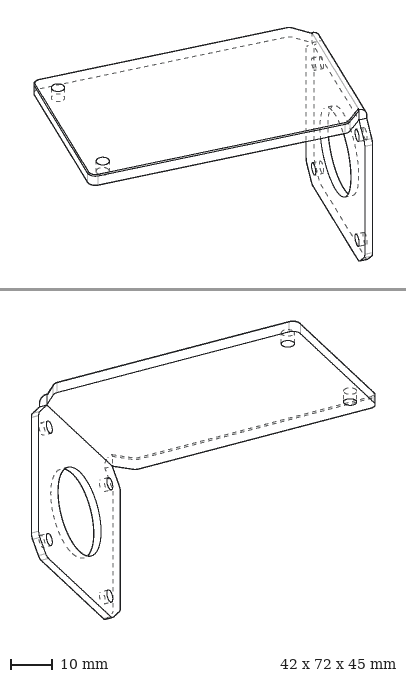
import cadquery as cq

width = 42.0
length = 72.0
height = 45.0

shelf_thickness = 3.0
flange_thickness = 2.0
bend_radius = flange_thickness
corner_cut = 4.2
corner_radius = 2.0
top_edge_chamfer = 0.3

bore_diameter = 22.0
mount_hole_diameter = 3.0
mount_hole_spacing = 31.0

shelf_hole_diameter = 3.2
shelf_hole_spacing = 32.0
shelf_hole_end_distance = 5.0

shelf_length = length - flange_thickness
flange_height = height - shelf_thickness
flange_center_z = -shelf_thickness - flange_height / 2
bend_width = width - 2 * corner_cut


def make_shelf():
    """Horizontal plate with rounded free corners and cut corners at the bend."""
    shelf = (
        cq.Workplane("XY")
        .box(width, shelf_length, shelf_thickness, centered=(True, False, False))
        .translate((0, 0, -shelf_thickness))
    )
    shelf = shelf.edges("|Z and >Y").chamfer(corner_cut)
    bend_edges = cq.selectors.BoxSelector(
        (-bend_width, shelf_length - corner_cut / 2, -height),
        (bend_width, length, height),
    )
    shelf = shelf.edges(cq.selectors.SubtractSelector(cq.StringSyntaxSelector("|Z"), bend_edges))
    shelf = shelf.fillet(corner_radius)
    bend_side = cq.selectors.BoxSelector(
        (-width, shelf_length - top_edge_chamfer, -height),
        (width, length, height),
    )
    top_edges = cq.selectors.SubtractSelector(cq.StringSyntaxSelector(">Z"), bend_side)
    shelf = shelf.edges(top_edges).chamfer(top_edge_chamfer)
    return (
        shelf.faces(">Z")
        .workplane(origin=(0, shelf_hole_end_distance, 0))
        .rarray(shelf_hole_spacing, 0.7, 2, 1)
        .hole(shelf_hole_diameter)
    )


def make_flange():
    """Vertical motor plate with cut corners, a central bore and four screw holes."""
    flange = (
        cq.Workplane("XY")
        .box(width, flange_thickness, flange_height, centered=(True, False, True))
        .translate((0, shelf_length, flange_center_z))
    )
    flange = flange.edges("|Y").chamfer(corner_cut)
    flange = flange.edges("|Y").edges("not >Z").fillet(corner_radius)
    face = flange.faces("<Y").workplane(origin=(0, 0, flange_center_z))
    flange = face.hole(bore_diameter)
    face = flange.faces("<Y").workplane(origin=(0, 0, flange_center_z))
    return face.rarray(mount_hole_spacing, mount_hole_spacing, 2, 2).hole(mount_hole_diameter)


def make_bend():
    """Rounded strip that joins the shelf to the flange."""
    bend = (
        cq.Workplane("XY")
        .box(bend_width, flange_thickness, shelf_thickness, centered=(True, False, False))
        .translate((0, shelf_length, -shelf_thickness))
    )
    corner = (
        cq.Workplane("YZ")
        .moveTo(length - bend_radius, 0)
        .radiusArc((length, -bend_radius), bend_radius)
        .lineTo(length, 0)
        .close()
        .extrude(bend_width / 2, both=True)
    )
    return bend.cut(corner)


result = make_shelf().union(make_bend()).union(make_flange())